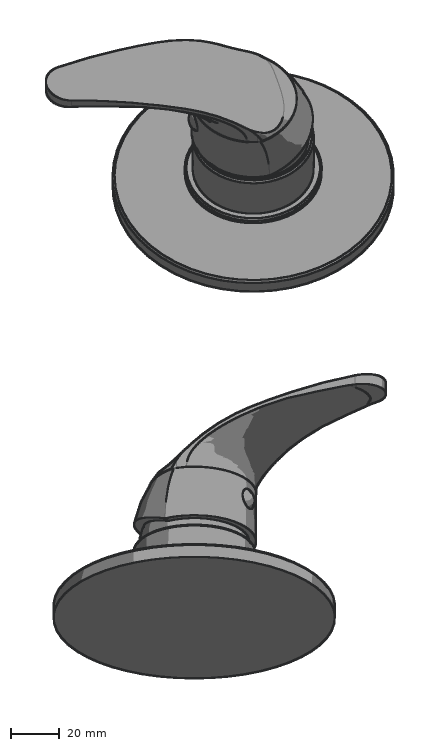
import cadquery as cq
import math

PLATE_RADIUS = 58.0
PLATE_WALL_HEIGHT = 5.4
PLATE_EDGE_BREAK = 0.9
DOME_APEX_HEIGHT = 9.75

COLLAR_RADIUS = 28.3
COLLAR_TOP = 11.1
COLLAR_CHAMFER = 0.8
BODY_RADIUS = 25.0
BODY_TOP = 31.0
BODY_CHAMFER = 0.9
BALL_RADIUS = 23.0

CAP_RADIUS = 25.5
CAP_BOTTOM = 34.6
CAP_TOP = 56.7
CAP_TOP_REAR_Y = 17.7
RIM_REAR_Y = 24.5
RIM_REAR_Z = 43.1
TIP_Y = -88.32
TIP_START_Y = -80.3
TIP_START_HALF_WIDTH = 9.55
BLANK_TOP = 91.0
TIP_UNDERSIDE = 84.4

TOP_SECTIONS = [
    (28.0, 53.5, 36.0),
    (10.2, 63.4, 36.0),
    (-3.6, 70.2, 37.0),
    (-18.0, 76.5, 57.0),
    (-40.4, 83.6, 78.0),
    (-62.0, 87.5, 80.0),
    (TIP_START_Y, 89.15, 80.0),
    (-95.0, 89.56, 80.0),
]

CAP_SECTIONS = [
    (CAP_BOTTOM, 26.0, 0.0),
    (RIM_REAR_Z, RIM_REAR_Y, -0.5),
    (50.0, 21.9, -1.7),
    (CAP_TOP, CAP_TOP_REAR_Y, -3.9),
]

SHOULDER_SECTIONS = [
    (CAP_TOP, CAP_TOP_REAR_Y),
    (59.4, 15.2),
    (63.4, 10.2),
    (68.0, 2.5),
]
SHOULDER_SKIN_TOP = 95.0

UNDERSIDE_SECTIONS = [
    (CAP_TOP, -CAP_RADIUS, -8.9),
    (62.6, -26.8, -10.4),
    (67.4, -31.0, -14.4),
    (74.0, -40.0, -24.9),
    (79.7, -52.7, -40.4),
    (82.6, -66.0, -53.3),
    (TIP_UNDERSIDE, -80.5, -77.0),
]

BUTTON_HEIGHT = 48.5
BUTTON_RADIUS = 5.7
BUTTON_FRONT_Y = -27.4

MARGIN = 0.4
UNDERSIDE_MARGIN = 0.1
CLEAR = 100.0


def tangent_point():
    """Point on the cap circle where the straight handle side leaves it."""
    distance = math.hypot(TIP_START_HALF_WIDTH, TIP_START_Y)
    direction = math.atan2(TIP_START_Y, TIP_START_HALF_WIDTH)
    angle = direction + math.acos(CAP_RADIUS / distance)
    return CAP_RADIUS * math.cos(angle), CAP_RADIUS * math.sin(angle)


SIDE_X, SIDE_Y = tangent_point()


def handle_half_width(y):
    """Half width of the tapering handle at a place along its length."""
    taper = (SIDE_X - TIP_START_HALF_WIDTH) / (SIDE_Y - TIP_START_Y)
    return SIDE_X + taper * (y - SIDE_Y)


def loft(wires):
    """Smooth solid through closed wires taken in order."""
    return cq.Workplane(obj=cq.Solid.makeLoft(wires, False))


def arc_section(plane, half_width, end_level, arc_level, base_level):
    """Closed wire with three straight sides and one arc through arc_level."""
    return (
        cq.Workplane(plane)
        .moveTo(-half_width, base_level)
        .lineTo(-half_width, end_level)
        .threePointArc((0, arc_level), (half_width, end_level))
        .lineTo(half_width, base_level)
        .close()
        .wire()
        .val()
    )


def horizontal_plane(z):
    return cq.Plane(origin=(0, 0, z), xDir=(1, 0, 0), normal=(0, 0, 1))


def cross_plane(y):
    return cq.Plane(origin=(0, y, 0), xDir=(1, 0, 0), normal=(0, -1, 0))


def make_base():
    """Domed plate, collar and valve body as one turned shape."""
    dome_edge_r = PLATE_RADIUS - PLATE_EDGE_BREAK
    dome_edge_z = PLATE_WALL_HEIGHT + PLATE_EDGE_BREAK
    drop = DOME_APEX_HEIGHT - dome_edge_z
    dome_radius = (dome_edge_r**2 + drop**2) / (2 * drop)
    dome_centre_z = DOME_APEX_HEIGHT - dome_radius

    def dome_z(r):
        return dome_centre_z + math.sqrt(dome_radius**2 - r**2)

    dome_mid_r = (dome_edge_r + COLLAR_RADIUS) / 2
    return (
        cq.Workplane("XZ")
        .lineTo(PLATE_RADIUS, 0)
        .lineTo(PLATE_RADIUS, PLATE_WALL_HEIGHT)
        .lineTo(dome_edge_r, dome_edge_z)
        .threePointArc((dome_mid_r, dome_z(dome_mid_r)), (COLLAR_RADIUS, dome_z(COLLAR_RADIUS)))
        .lineTo(COLLAR_RADIUS, COLLAR_TOP - COLLAR_CHAMFER)
        .lineTo(COLLAR_RADIUS - COLLAR_CHAMFER, COLLAR_TOP)
        .lineTo(BODY_RADIUS, COLLAR_TOP)
        .lineTo(BODY_RADIUS, BODY_TOP - BODY_CHAMFER)
        .lineTo(BODY_RADIUS - BODY_CHAMFER, BODY_TOP)
        .lineTo(0, BODY_TOP)
        .close()
        .revolve(360, (0, 0), (0, 1))
    )


def make_ball():
    return cq.Workplane("XY").sphere(BALL_RADIUS).translate((0, 0, BODY_TOP))


def make_handle_blank():
    """Plan outline of the handle, extruded from the round cap to above its top."""
    return (
        cq.Workplane("XY")
        .workplane(offset=CAP_TOP)
        .moveTo(-SIDE_X, SIDE_Y)
        .threePointArc((0, CAP_RADIUS), (SIDE_X, SIDE_Y))
        .lineTo(TIP_START_HALF_WIDTH, TIP_START_Y)
        .threePointArc((0, TIP_Y), (-TIP_START_HALF_WIDTH, TIP_START_Y))
        .close()
        .extrude(BLANK_TOP - CAP_TOP)
    )


def make_top_skin():
    """Solid filling the space below the crowned top of the handle."""
    half_width = CAP_RADIUS + MARGIN
    wires = []
    for y, crown, radius in TOP_SECTIONS:
        edge = crown - radius + math.sqrt(radius**2 - half_width**2)
        wires.append(arc_section(cross_plane(y), half_width, edge, crown, 0))
    return loft(wires)


def make_cap():
    """Cap with a round front and a back that leans forward as it rises."""
    wires = []
    for z, rear, seam in CAP_SECTIONS:
        seam_x = math.sqrt(CAP_RADIUS**2 - seam**2)
        outline = (
            cq.Workplane(horizontal_plane(z))
            .moveTo(-seam_x, seam)
            .threePointArc((0, rear), (seam_x, seam))
            .threePointArc((0, -CAP_RADIUS), (-seam_x, seam))
            .close()
        )
        wires.append(outline.wire().val())
    return loft(wires).cut(make_rim_cutter())


def make_shoulder_skin():
    """Solid in front of the rounded shoulder that links cap and handle."""
    radius = CAP_RADIUS + MARGIN
    wires = []
    for z, rear in SHOULDER_SECTIONS:
        wires.append(arc_section(horizontal_plane(z), radius, rear - radius, rear, -CLEAR))
    skin = loft(wires)
    column_height = SHOULDER_SKIN_TOP - SHOULDER_SECTIONS[-1][0]
    return skin.union(skin.faces(">Z").wires().toPending().extrude(column_height))


def make_underside_cutter():
    """Space in front of the cap and below the curved handle underside."""
    wires = []
    for z, centre, edge in UNDERSIDE_SECTIONS:
        half_width = handle_half_width(edge) + UNDERSIDE_MARGIN
        wires.append(arc_section(horizontal_plane(z), half_width, edge, centre, -CLEAR))
    return loft(wires)


def make_rim_cutter():
    """Wedge below the sloping rear rim of the cap."""
    rim_slope = (RIM_REAR_Z - CAP_BOTTOM) / RIM_REAR_Y
    return (
        cq.Workplane("YZ")
        .moveTo(0, CAP_BOTTOM)
        .lineTo(CLEAR, CAP_BOTTOM + rim_slope * CLEAR)
        .lineTo(CLEAR, CAP_BOTTOM)
        .close()
        .extrude(CLEAR, both=True)
    )


def make_handle():
    handle = make_handle_blank().intersect(make_top_skin())
    return handle.cut(make_underside_cutter()).intersect(make_shoulder_skin())


def make_button():
    centre_y = BUTTON_FRONT_Y + BUTTON_RADIUS
    return cq.Workplane("XY").sphere(BUTTON_RADIUS).translate((0, centre_y, BUTTON_HEIGHT))


lever = make_cap().union(make_handle())
fixed_body = make_base().union(make_ball())
result = lever.union(fixed_body).union(make_button())